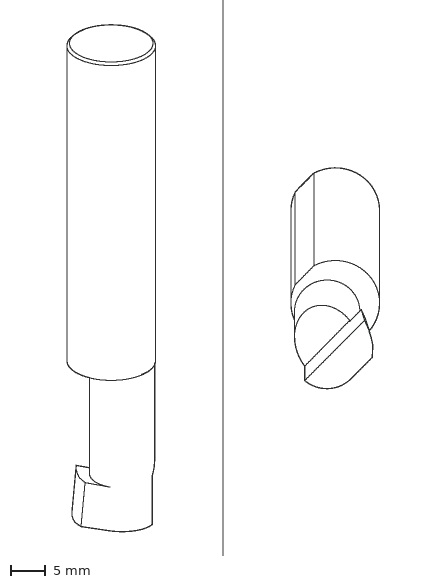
import cadquery as cq
import math


total_length = 76.2
shank_length = 50.75
shank_diameter = 12.7
shank_radius = shank_diameter / 2
end_chamfer = 0.4
flat_depth = 0.3

neck_diameter = 9.4
neck_radius = neck_diameter / 2
neck_x = shank_radius - neck_radius
neck_top = total_length - shank_length

rake_top = 8.2
runout_top = rake_top + neck_radius

head_height = 7.7
tip_x = -6.1
side_lean = 5.0
flank_run = 1.9
flank_depth = 3.5
flank_bulge = 0.15
relief_run = 1.4

end_tilt_y = 5.0
end_tilt_x = 2.0


def make_shank():
    shank = (
        cq.Workplane("XY").workplane(offset=neck_top)
        .circle(shank_radius).extrude(shank_length)
        .faces(">Z").chamfer(end_chamfer)
    )
    flat = (
        cq.Workplane("XY").workplane(offset=neck_top)
        .center(0, shank_radius)
        .rect(shank_diameter, 2 * flat_depth).extrude(shank_length)
    )
    return shank.cut(flat)


def make_neck():
    neck = cq.Workplane("XY").center(neck_x, 0).circle(neck_radius).extrude(neck_top)
    removed = (
        cq.Workplane("YZ")
        .polyline([(0, 0), (neck_radius, 0), (neck_radius, runout_top), (0, rake_top)])
        .close().extrude(shank_diameter, both=True)
    )
    return neck.cut(removed)


def head_profile(plane, edge_x):
    """Draw the head section with its cutting edge at the given X."""
    flank_x = edge_x + flank_run
    flank_length = math.hypot(flank_run, flank_depth)
    bulge_x = edge_x + flank_run / 2 - flank_bulge * flank_depth / flank_length
    bulge_y = -flank_depth / 2 - flank_bulge * flank_run / flank_length
    return (
        plane.moveTo(edge_x, 0)
        .threePointArc((bulge_x, bulge_y), (flank_x, -flank_depth))
        .lineTo(flank_x + relief_run, -neck_radius)
        .lineTo(neck_x, -neck_radius)
        .lineTo(neck_x, 0)
        .close()
    )


def make_head():
    top_edge_x = tip_x + head_height * math.tan(math.radians(side_lean))
    bottom = head_profile(cq.Workplane("XY"), tip_x)
    return head_profile(bottom.workplane(offset=head_height), top_edge_x).loft(ruled=True)


def make_end_clearance():
    """Block whose top face is the tilted end plane through the cutting tip."""
    size = 2 * shank_diameter
    return (
        cq.Workplane("XY").box(size, size, size, centered=(True, True, False))
        .translate((0, 0, -size))
        .rotate((0, 0, 0), (1, 0, 0), -end_tilt_y)
        .rotate((0, 0, 0), (0, 1, 0), -end_tilt_x)
        .translate((tip_x, 0, 0))
    )


cutting_end = make_neck().union(make_head()).cut(make_end_clearance())
result = make_shank().union(cutting_end)